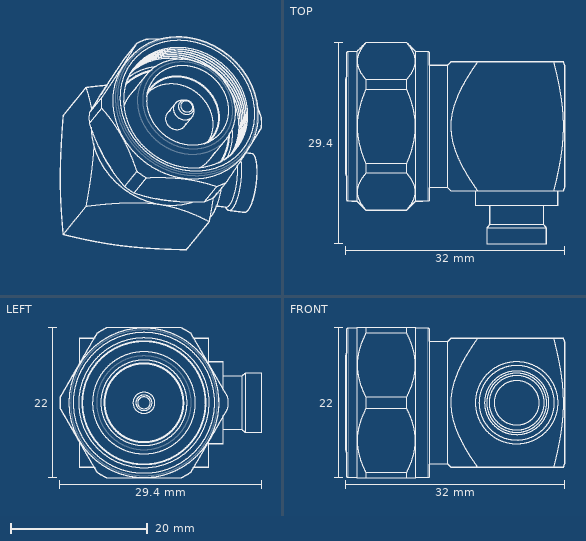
import cadquery as cq
import math


TOTAL_LENGTH = 32.0
NUT_FRONT = 0.13
NUT_BACK = 12.22
HEX_FRONT = 1.63
HEX_BACK = 10.2
BLOCK_FRONT = 14.88

NUT_RADIUS = 10.95
NUT_EDGE_ROUND = 0.25
HEX_FLATS = 22.0
HEX_CORNER_RADIUS = 12.25
NUT_MOUTH_RADIUS = 10.3
THREAD_CREST_RADIUS = 9.5
THREAD_ROOT_RADIUS = 9.92
THREAD_PITCH = 0.75
THREAD_CREST_FLAT = 0.13
THREAD_GROOVES = 6
NUT_FLOOR = 8.32
NUT_COLLAR_RADIUS = 9.05
CLEARANCE_DEPTH = 0.32

SLEEVE_RADIUS = 7.5
SLEEVE_LIP = 0.6
SLEEVE_MOUTH_RADIUS = 6.27
SLEEVE_BORE_RADIUS = 5.7
SLEEVE_STEP_RADIUS = 5.82
SLEEVE_TAPER = 3.0
SLEEVE_DEPTH = 5.7

PIN_TIP = 0.48
PIN_TIP_RADIUS = 0.9
PIN_NOSE_RADIUS = 1.15
PIN_RADIUS = 1.57
PIN_TAPER_START = 0.77
PIN_TAPER_END = 1.85

NECK_RADIUS = 8.95
BLOCK_SIDE = 18.88
BLOCK_BACK_RADIUS = 8.83
ENVELOPE_MARGIN = 0.32
BLOCK_BACK_ANGLE = 20.0

PORT_X = 24.95
COLLAR_RADIUS = 6.0
COLLAR_END = 11.55
COLLAR_MOUTH_RADIUS = 5.47
COLLAR_FLOOR_RADIUS = 4.67
TUBE_RADIUS = 3.95
TUBE_HEAD_RADIUS = 4.35
TUBE_STEP = 14.3
TUBE_HEAD = 14.8
TUBE_END = 17.2
TUBE_MOUTH_RADIUS = 4.0
TUBE_FLOOR_RADIUS = 3.25
TUBE_DEPTH = 4.05


def turned(points):
    """Solid of revolution about the main axis from (x, radius) points."""
    return cq.Workplane("XZ").polyline(points).close().revolve(360, (0, 0, 0), (1, 0, 0))


def port_turned(points):
    """Solid of revolution about the port axis from (radius, distance toward -Y) points."""
    outline = [(PORT_X - radius, -distance) for radius, distance in points]
    return cq.Workplane("XY").polyline(outline).close().revolve(360, (PORT_X, 0, 0), (PORT_X, 1, 0))


def nut():
    """Rounded barrel with a hexagon whose ends and corners are turned down."""
    barrel = (
        cq.Workplane("YZ", origin=(NUT_FRONT, 0, 0))
        .circle(NUT_RADIUS)
        .extrude(NUT_BACK - NUT_FRONT)
        .edges("%CIRCLE")
        .fillet(NUT_EDGE_ROUND)
    )
    hexagon = (
        cq.Workplane("YZ", origin=(HEX_FRONT, 0, 0))
        .polygon(6, HEX_FLATS / math.cos(math.pi / 6))
        .extrude(HEX_BACK - HEX_FRONT)
    )
    rise = HEX_CORNER_RADIUS - NUT_RADIUS
    envelope = turned([
        (HEX_FRONT, 0),
        (HEX_FRONT, NUT_RADIUS),
        (HEX_FRONT + rise, HEX_CORNER_RADIUS),
        (HEX_BACK - rise, HEX_CORNER_RADIUS),
        (HEX_BACK, NUT_RADIUS),
        (HEX_BACK, 0),
    ])
    return barrel.union(hexagon.intersect(envelope))


def nut_cavity():
    """Coned mouth, thread simplified to closed V grooves, plain bore and floor with a ring gap."""
    mouth_depth = NUT_MOUTH_RADIUS - THREAD_CREST_RADIUS
    thread_start = NUT_FRONT + mouth_depth
    groove_width = THREAD_PITCH - THREAD_CREST_FLAT
    outline = [
        (NUT_FRONT, 0),
        (NUT_FRONT, NUT_MOUTH_RADIUS),
        (thread_start, THREAD_CREST_RADIUS),
    ]
    for groove in range(THREAD_GROOVES):
        start = thread_start + groove * THREAD_PITCH
        outline += [
            (start + groove_width / 2, THREAD_ROOT_RADIUS),
            (start + groove_width, THREAD_CREST_RADIUS),
            (start + THREAD_PITCH, THREAD_CREST_RADIUS),
        ]
    outline += [
        (NUT_FLOOR, THREAD_CREST_RADIUS),
        (NUT_FLOOR, NUT_COLLAR_RADIUS),
        (NUT_FLOOR + CLEARANCE_DEPTH, NUT_COLLAR_RADIUS),
        (NUT_FLOOR + CLEARANCE_DEPTH, NECK_RADIUS),
        (NUT_FLOOR, NECK_RADIUS),
        (NUT_FLOOR, 0),
    ]
    return turned(outline)


def sleeve():
    """Round-lipped contact sleeve with a tapered bore that ends in a short cylinder."""
    lip_radius = SLEEVE_RADIUS - SLEEVE_LIP
    diagonal = SLEEVE_LIP * math.sqrt(0.5)
    body = (
        cq.Workplane("XZ")
        .moveTo(0, 0)
        .lineTo(0, lip_radius)
        .threePointArc((SLEEVE_LIP - diagonal, lip_radius + diagonal), (SLEEVE_LIP, SLEEVE_RADIUS))
        .lineTo(NUT_BACK, SLEEVE_RADIUS)
        .lineTo(NUT_BACK, 0)
        .close()
        .revolve(360, (0, 0, 0), (1, 0, 0))
    )
    bore = turned([
        (0, 0),
        (0, SLEEVE_MOUTH_RADIUS),
        (SLEEVE_TAPER, SLEEVE_STEP_RADIUS),
        (SLEEVE_TAPER, SLEEVE_BORE_RADIUS),
        (SLEEVE_DEPTH, SLEEVE_BORE_RADIUS),
        (SLEEVE_DEPTH, 0),
    ])
    return body.cut(bore)


def pin():
    """Centre pin with a chamfered tip and a tapered nose."""
    return turned([
        (PIN_TIP, 0),
        (PIN_TIP, PIN_TIP_RADIUS),
        (PIN_TAPER_START, PIN_NOSE_RADIUS),
        (PIN_TAPER_END, PIN_RADIUS),
        (NUT_BACK, PIN_RADIUS),
        (NUT_BACK, 0),
    ])


def block():
    """Neck and square block; cones at both ends leave curved edges on the flats."""
    length = TOTAL_LENGTH - BLOCK_FRONT
    square = cq.Workplane("YZ", origin=(BLOCK_FRONT, 0, 0)).rect(BLOCK_SIDE, BLOCK_SIDE).extrude(length)
    reach = BLOCK_SIDE * math.sqrt(0.5) + ENVELOPE_MARGIN
    back_drop = (reach - BLOCK_BACK_RADIUS) * math.tan(math.radians(BLOCK_BACK_ANGLE))
    envelope = turned([
        (BLOCK_FRONT, 0),
        (BLOCK_FRONT, NECK_RADIUS),
        (BLOCK_FRONT + reach - NECK_RADIUS, reach),
        (TOTAL_LENGTH - back_drop, reach),
        (TOTAL_LENGTH, BLOCK_BACK_RADIUS),
        (TOTAL_LENGTH, 0),
    ])
    neck = cq.Workplane("YZ", origin=(NUT_BACK, 0, 0)).circle(NECK_RADIUS).extrude(BLOCK_FRONT - NUT_BACK)
    return square.intersect(envelope).union(neck)


def collar():
    """Ring around the port."""
    return port_turned([(0, 0), (COLLAR_RADIUS, 0), (COLLAR_RADIUS, COLLAR_END), (0, COLLAR_END)])


def collar_cavity():
    """Tapered recess inside the ring, down to the block face."""
    floor = BLOCK_SIDE / 2
    return port_turned([
        (0, floor),
        (COLLAR_FLOOR_RADIUS, floor),
        (COLLAR_MOUTH_RADIUS, COLLAR_END),
        (0, COLLAR_END),
    ])


def tube():
    """Port tube with a wider head."""
    return port_turned([
        (0, 0),
        (TUBE_RADIUS, 0),
        (TUBE_RADIUS, TUBE_STEP),
        (TUBE_HEAD_RADIUS, TUBE_HEAD),
        (TUBE_HEAD_RADIUS, TUBE_END),
        (0, TUBE_END),
    ])


def tube_cavity():
    """Tapered blind bore of the port tube."""
    floor = TUBE_END - TUBE_DEPTH
    return port_turned([
        (0, floor),
        (TUBE_FLOOR_RADIUS, floor),
        (TUBE_MOUTH_RADIUS, TUBE_END),
        (0, TUBE_END),
    ])


coupling = nut().cut(nut_cavity()).union(sleeve()).union(pin())
body = block().union(collar()).cut(collar_cavity())
result = coupling.union(body).union(tube()).cut(tube_cavity())